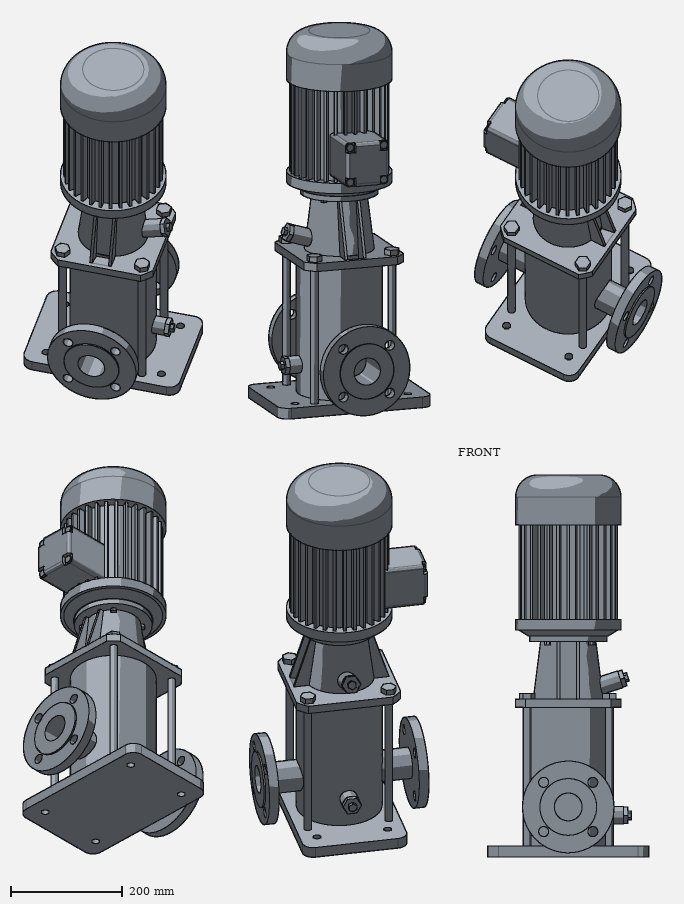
import cadquery as cq
import math


BASE_LENGTH = 290.0
BASE_WIDTH = 192.0
BASE_THICKNESS = 20.0
BASE_CORNER_RADIUS = 20.0
BASE_HOLE_DIAMETER = 14.0
BASE_HOLE_PITCH_X = 215.0
BASE_HOLE_PITCH_Y = 130.0

CASING_DIAMETER = 155.0
TOP_PLATE_LENGTH = 190.0
TOP_PLATE_BOTTOM = 269.0
TOP_PLATE_TOP = 284.0
TOP_PLATE_CORNER_DIAMETER = 246.0
ROD_DIAMETER = 14.0
ROD_OFFSET_X = 74.0
ROD_OFFSET_Y = 74.5
ROD_HEAD_FLATS = 24.0
ROD_HEAD_HEIGHT = 10.0

PORT_HEIGHT = 90.0
PORT_FACE_DISTANCE = 150.0
PORT_PIPE_DIAMETER = 57.0
PORT_BORE_DIAMETER = 50.0
PORT_FLANGE_DIAMETER = 165.0
PORT_FLANGE_THICKNESS = 18.0
PORT_RAISED_DIAMETER = 102.0
PORT_RAISED_HEIGHT = 3.0
PORT_HOLE_DIAMETER = 18.0
PORT_HOLE_CIRCLE = 125.0
PORT_HOLE_COUNT = 4

CONE_BOTTOM_DIAMETER = 126.0
CONE_TOP_DIAMETER = 100.0
MOTOR_SPIGOT_BOTTOM = 387.0
RIB_THICKNESS = 5.0
RIB_OFFSET_X = 17.5
RIB_REACH_BOTTOM = 87.5
RIB_REACH_TOP = 54.0
RIB_POCKET_DEPTH = 7.0
STOOL_BOLT_LEFT_X = -36.5
STOOL_BOLT_RIGHT_X = 42.0
STOOL_BOLT_Y = 36.5
STOOL_BOLT_FLATS = 10.0
STOOL_BOLT_HEAD_HEIGHT = 6.0

MOTOR_DIAMETER = 190.0
MOTOR_SPIGOT_DIAMETER = 140.0
MOTOR_SPIGOT_HEIGHT = 10.0
MOTOR_TAPER_BOTTOM_DIAMETER = 143.0
MOTOR_TAPER_TOP_DIAMETER = 178.0
MOTOR_FLANGE_BOTTOM = 408.0
MOTOR_FLANGE_TOP = 427.0
MOTOR_BODY_DIAMETER = 152.0
FIN_TIP_DIAMETER = 178.0
FIN_THICKNESS = 5.0
FIN_COUNT = 30
COVER_BOTTOM = 597.0
COVER_ROUNDING = 40.0
TOTAL_HEIGHT = 687.0

BOX_SIZE = 81.0
BOX_FACE_Y = 155.0
BOX_CENTER_Z = 475.0
BOX_ROUNDING = 6.0
BOX_NOTCH_SIZE = 17.0
BOX_NOTCH_DEPTH = 8.0
BOX_SCREW_HEAD_DIAMETER = 14.0
BOX_SCREW_HEAD_HEIGHT = 3.0

PLUG_BOSS_DIAMETER = 32.0
PLUG_HEX_FLATS = 30.0
PLUG_HEX_HEIGHT = 8.0
PLUG_TIP_FLATS = 14.0
PLUG_TIP_HEIGHT = 6.5
DRAIN_BOSS_END_X = 99.0
DRAIN_HEIGHT = 75.0
VENT_BOSS_END_X = 93.5
VENT_BOSS_END_Z = 319.5
VENT_TILT = 18.0
PLUG_BOSS_LENGTH = 60.0


def across_corners(across_flats):
    return across_flats / math.cos(math.pi / 6)


def disc(diameter, bottom, top):
    """Vertical cylinder on the pump axis."""
    return cq.Workplane("XY").workplane(offset=bottom).circle(diameter / 2).extrude(top - bottom)


def hex_prism(across_flats, height, turn=0.0):
    """Hexagonal prism standing on Z = 0; unturned, its corners lie on the X axis."""
    prism = cq.Workplane("XY").polygon(6, across_corners(across_flats)).extrude(height)
    return prism.rotate((0, 0, 0), (0, 0, 1), turn)


def flat_plate(length, bottom, top):
    return cq.Workplane("XY").workplane(offset=bottom).rect(length, BASE_WIDTH).extrude(top - bottom)


def make_base():
    base = flat_plate(BASE_LENGTH, 0, BASE_THICKNESS).edges("|Z").fillet(BASE_CORNER_RADIUS)
    holes = (
        cq.Workplane("XY")
        .rect(BASE_HOLE_PITCH_X, BASE_HOLE_PITCH_Y, forConstruction=True)
        .vertices()
        .circle(BASE_HOLE_DIAMETER / 2)
        .extrude(BASE_THICKNESS)
    )
    return base.cut(holes)


def make_rib_pocket():
    """Pocket in the top plate between the ribs on the -Y side, deepening from their ends to the cone."""
    half_width = RIB_OFFSET_X - RIB_THICKNESS / 2
    inner_reach = math.sqrt((CONE_BOTTOM_DIAMETER / 2) ** 2 - half_width**2)
    outline = [
        (-RIB_REACH_BOTTOM, TOP_PLATE_TOP),
        (-inner_reach, TOP_PLATE_TOP),
        (-inner_reach, TOP_PLATE_TOP - RIB_POCKET_DEPTH),
    ]
    return cq.Workplane("YZ").polyline(outline).close().extrude(half_width, both=True)


def make_casing():
    casing = disc(CASING_DIAMETER, BASE_THICKNESS, TOP_PLATE_BOTTOM)
    top_plate = flat_plate(TOP_PLATE_LENGTH, TOP_PLATE_BOTTOM, TOP_PLATE_TOP)
    top_plate = top_plate.intersect(disc(TOP_PLATE_CORNER_DIAMETER, TOP_PLATE_BOTTOM, TOP_PLATE_TOP))
    pocket = make_rib_pocket()
    top_plate = top_plate.cut(pocket).cut(pocket.mirror("XZ"))
    casing = casing.union(top_plate)
    rod_length = TOP_PLATE_BOTTOM - BASE_THICKNESS
    for side_x in (-1, 1):
        head_turn = 30.0 if side_x > 0 else 0.0
        for side_y in (-1, 1):
            place = (side_x * ROD_OFFSET_X, side_y * ROD_OFFSET_Y, 0)
            rod = cq.Workplane("XY").circle(ROD_DIAMETER / 2).extrude(rod_length)
            head = hex_prism(ROD_HEAD_FLATS, ROD_HEAD_HEIGHT, head_turn)
            casing = casing.union(rod.translate(place).translate((0, 0, BASE_THICKNESS)))
            casing = casing.union(head.translate(place).translate((0, 0, TOP_PLATE_TOP)))
    return casing


def make_port():
    """Flanged port pointing along -Y, with its bore open to the pump axis."""
    flange_face = PORT_FACE_DISTANCE - PORT_RAISED_HEIGHT
    axis_plane = cq.Workplane("XZ").center(0, PORT_HEIGHT)
    pipe = axis_plane.circle(PORT_PIPE_DIAMETER / 2).extrude(flange_face)
    flange = (
        axis_plane.workplane(offset=flange_face - PORT_FLANGE_THICKNESS)
        .circle(PORT_FLANGE_DIAMETER / 2)
        .extrude(PORT_FLANGE_THICKNESS)
    )
    raised_face = (
        axis_plane.workplane(offset=flange_face).circle(PORT_RAISED_DIAMETER / 2).extrude(PORT_RAISED_HEIGHT)
    )
    bolt_holes = (
        axis_plane.polarArray(PORT_HOLE_CIRCLE / 2, 360 / PORT_HOLE_COUNT / 2, 360, PORT_HOLE_COUNT)
        .circle(PORT_HOLE_DIAMETER / 2)
        .extrude(PORT_FACE_DISTANCE)
    )
    bore = axis_plane.circle(PORT_BORE_DIAMETER / 2).extrude(PORT_FACE_DISTANCE)
    return pipe.union(flange.cut(bolt_holes)).union(raised_face).cut(bore)


def make_ports():
    port = make_port()
    return port.union(port.mirror("XZ"))


def make_stool():
    height = MOTOR_SPIGOT_BOTTOM - TOP_PLATE_TOP
    stool = (
        cq.Workplane("XY")
        .workplane(offset=TOP_PLATE_TOP)
        .circle(CONE_BOTTOM_DIAMETER / 2)
        .workplane(offset=height)
        .circle(CONE_TOP_DIAMETER / 2)
        .loft(combine=True)
    )
    rib_outline = [
        (-RIB_REACH_BOTTOM, TOP_PLATE_TOP),
        (RIB_REACH_BOTTOM, TOP_PLATE_TOP),
        (RIB_REACH_TOP, MOTOR_SPIGOT_BOTTOM),
        (-RIB_REACH_TOP, MOTOR_SPIGOT_BOTTOM),
    ]
    rib = cq.Workplane("YZ").polyline(rib_outline).close().extrude(RIB_THICKNESS / 2, both=True)
    bolt_head = hex_prism(STOOL_BOLT_FLATS, STOOL_BOLT_HEAD_HEIGHT)
    bolt_bottom = MOTOR_SPIGOT_BOTTOM - STOOL_BOLT_HEAD_HEIGHT
    for side_x in (-1, 1):
        stool = stool.union(rib.translate((side_x * RIB_OFFSET_X, 0, 0)))
    for bolt_x in (STOOL_BOLT_LEFT_X, STOOL_BOLT_RIGHT_X):
        for bolt_y in (-STOOL_BOLT_Y, STOOL_BOLT_Y):
            stool = stool.union(bolt_head.translate((bolt_x, bolt_y, bolt_bottom)))
    return stool


def make_motor_shell():
    """Turned parts of the motor: spigot, taper, flange, body and domed fan cover."""
    radius = MOTOR_DIAMETER / 2
    body_radius = MOTOR_BODY_DIAMETER / 2
    spigot_radius = MOTOR_SPIGOT_DIAMETER / 2
    spigot_top = MOTOR_SPIGOT_BOTTOM + MOTOR_SPIGOT_HEIGHT
    dome_bottom = TOTAL_HEIGHT - COVER_ROUNDING
    dome_top_radius = radius - COVER_ROUNDING
    arc_step = COVER_ROUNDING * math.sqrt(0.5)
    return (
        cq.Workplane("XZ")
        .moveTo(0, MOTOR_SPIGOT_BOTTOM)
        .lineTo(spigot_radius, MOTOR_SPIGOT_BOTTOM)
        .lineTo(spigot_radius, spigot_top)
        .lineTo(MOTOR_TAPER_BOTTOM_DIAMETER / 2, spigot_top)
        .lineTo(MOTOR_TAPER_TOP_DIAMETER / 2, MOTOR_FLANGE_BOTTOM)
        .lineTo(radius, MOTOR_FLANGE_BOTTOM)
        .lineTo(radius, MOTOR_FLANGE_TOP)
        .lineTo(body_radius, MOTOR_FLANGE_TOP)
        .lineTo(body_radius, COVER_BOTTOM)
        .lineTo(radius, COVER_BOTTOM)
        .lineTo(radius, dome_bottom)
        .threePointArc((dome_top_radius + arc_step, dome_bottom + arc_step), (dome_top_radius, TOTAL_HEIGHT))
        .lineTo(0, TOTAL_HEIGHT)
        .close()
        .revolve(360, (0, 0, 0), (0, 1, 0))
    )


def make_fins():
    """Cooling fins around the motor body, with one fin on each end of the Y axis."""
    fin_height = COVER_BOTTOM - MOTOR_FLANGE_TOP
    bar = (
        cq.Workplane("XY")
        .workplane(offset=MOTOR_FLANGE_TOP)
        .rect(FIN_THICKNESS, FIN_TIP_DIAMETER)
        .extrude(fin_height)
    )
    fins = bar
    for index in range(1, FIN_COUNT // 2):
        fins = fins.union(bar.rotate((0, 0, 0), (0, 0, 1), index * 360 / FIN_COUNT))
    return fins


def make_terminal_box():
    box = cq.Workplane("XY").box(BOX_SIZE, BOX_FACE_Y, BOX_SIZE, centered=(True, False, True))
    box = box.edges("|Y").fillet(BOX_ROUNDING).faces(">Y").edges().fillet(BOX_ROUNDING)
    notch_floor_y = BOX_FACE_Y - BOX_NOTCH_DEPTH
    notch_center = (BOX_SIZE - BOX_NOTCH_SIZE) / 2
    notch = cq.Workplane("XY").box(
        BOX_NOTCH_SIZE, BOX_NOTCH_DEPTH, BOX_NOTCH_SIZE, centered=(True, False, True)
    )
    screw_head = cq.Workplane("XZ").circle(BOX_SCREW_HEAD_DIAMETER / 2).extrude(-BOX_SCREW_HEAD_HEIGHT)
    for side_x in (-1, 1):
        for side_z in (-1, 1):
            place = (side_x * notch_center, notch_floor_y, side_z * notch_center)
            box = box.cut(notch.translate(place)).union(screw_head.translate(place))
    return box.translate((0, 0, BOX_CENTER_Z))


def make_plug():
    """Plug along +Z whose round boss ends at the origin, followed by two hexagons."""
    boss = cq.Workplane("XY").circle(PLUG_BOSS_DIAMETER / 2).extrude(-PLUG_BOSS_LENGTH)
    hexagon = hex_prism(PLUG_HEX_FLATS, PLUG_HEX_HEIGHT, 30.0)
    tip = hex_prism(PLUG_TIP_FLATS, PLUG_TIP_HEIGHT).translate((0, 0, PLUG_HEX_HEIGHT))
    return boss.union(hexagon).union(tip)


def make_plugs():
    level_plug = make_plug().rotate((0, 0, 0), (0, 1, 0), 90)
    drain = level_plug.translate((DRAIN_BOSS_END_X, 0, DRAIN_HEIGHT))
    vent = level_plug.rotate((0, 0, 0), (0, 1, 0), -VENT_TILT)
    vent = vent.translate((VENT_BOSS_END_X, 0, VENT_BOSS_END_Z))
    return drain.union(vent)


result = (
    make_base()
    .union(make_ports())
    .union(make_casing())
    .union(make_stool())
    .union(make_motor_shell())
    .union(make_fins())
    .union(make_terminal_box())
    .union(make_plugs())
)